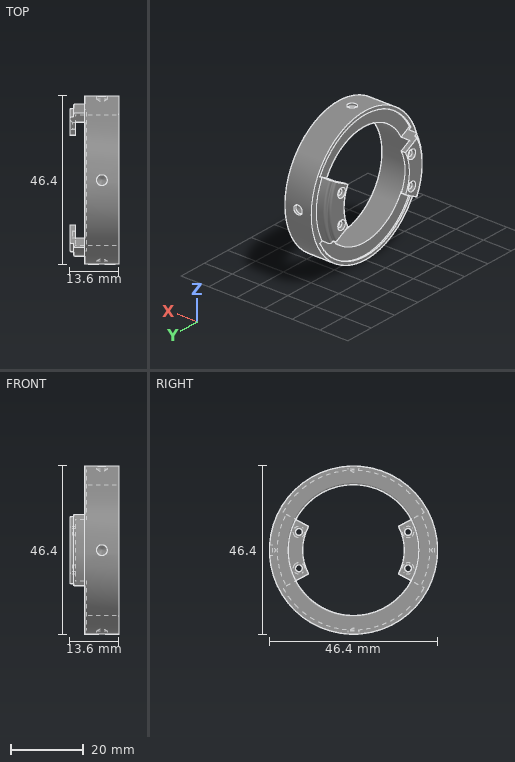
import cadquery as cq
import math

outer_radius = 23.2
bore_radius = 18.0
ring_width = 9.5
bore_fillet = 0.5

recess_radius = 22.05
recess_depth = 0.5

tab_half_angle = 28.0
tab_height = 4.1
tab_inner_radius = 13.95
tab_plate_thickness = 1.6
shoulder_radius = 21.0
shoulder_height = 3.0
rim_radius = 19.75
edge_fillet = 0.5
root_fillet = 0.25

screw_y = 15.05
screw_z = 5.0
screw_diameter = 1.8
countersink_diameter = 3.15
countersink_angle = 90.0

drill_radius = 1.5
drill_depth = 0.9
drill_point_angle = 118.0
drill_count = 4


def revolve_about_x(profile):
    """Revolve a closed profile of (x, radius) about the X axis."""
    return profile.close().revolve(360, (0, 0, 0), (1, 0, 0))


def tab_sectors(length, start_x):
    """Two wedges opening toward +Y and -Y, extruded along X from start_x."""
    reach = 2 * outer_radius
    half_width = reach * math.tan(math.radians(tab_half_angle))
    sectors = cq.Workplane("YZ", origin=(start_x, 0, 0))
    for side in (1, -1):
        sectors = sectors.polyline([
            (0, 0),
            (side * reach, -half_width),
            (side * reach, half_width),
        ]).close()
    return sectors.extrude(length)


def make_ring():
    ring = cq.Workplane("YZ").circle(outer_radius).circle(bore_radius).extrude(ring_width)
    bore_edge = cq.selectors.RadiusNthSelector(0)
    ring = ring.faces(">X").edges(bore_edge).fillet(bore_fillet)
    recess = cq.Workplane("YZ").circle(recess_radius).extrude(recess_depth)
    return ring.cut(recess.cut(tab_sectors(recess_depth, 0)))


def make_tabs():
    diagonal = math.sqrt(0.5)
    rim_center = (-tab_height + edge_fillet, rim_radius - edge_fillet)
    root_center = (-shoulder_height - root_fillet, rim_radius + root_fillet)
    shoulder_center = (-shoulder_height + edge_fillet, shoulder_radius - edge_fillet)
    profile = (
        cq.Workplane("XY")
        .moveTo(recess_depth, bore_radius)
        .lineTo(-tab_height + tab_plate_thickness, bore_radius)
        .lineTo(-tab_height + tab_plate_thickness, tab_inner_radius)
        .lineTo(-tab_height, tab_inner_radius)
        .lineTo(-tab_height, rim_center[1])
        .threePointArc(
            (rim_center[0] - edge_fillet * diagonal, rim_center[1] + edge_fillet * diagonal),
            (rim_center[0], rim_radius),
        )
        .lineTo(root_center[0], rim_radius)
        .threePointArc(
            (root_center[0] + root_fillet * diagonal, root_center[1] - root_fillet * diagonal),
            (-shoulder_height, root_center[1]),
        )
        .lineTo(-shoulder_height, shoulder_center[1])
        .threePointArc(
            (shoulder_center[0] - edge_fillet * diagonal, shoulder_center[1] + edge_fillet * diagonal),
            (shoulder_center[0], shoulder_radius),
        )
        .lineTo(recess_depth, shoulder_radius)
    )
    tabs = revolve_about_x(profile).intersect(tab_sectors(tab_height + recess_depth, -tab_height))
    return tabs.cut(make_screw_holes())


def make_screw_holes():
    """Countersunk cutters running through the tab plates."""
    hole_radius = screw_diameter / 2
    sink_radius = countersink_diameter / 2
    sink_depth = (sink_radius - hole_radius) / math.tan(math.radians(countersink_angle / 2))
    cutter = revolve_about_x(
        cq.Workplane("XY")
        .moveTo(-tab_height, 0)
        .lineTo(-tab_height, sink_radius)
        .lineTo(-tab_height + sink_depth, hole_radius)
        .lineTo(-tab_height + tab_plate_thickness, hole_radius)
        .lineTo(-tab_height + tab_plate_thickness, 0)
    )
    holes = cq.Workplane("XY")
    for y in (screw_y, -screw_y):
        for z in (screw_z, -screw_z):
            holes = holes.add(cutter.translate((0, y, z)))
    return holes.combine()


def drill_radial_holes(body):
    """Blind holes with conical bottoms, halfway across the ring width."""
    floor = outer_radius - drill_depth
    tip = floor - drill_radius / math.tan(math.radians(drill_point_angle / 2))
    drill = (
        cq.Workplane("XZ")
        .moveTo(0, tip)
        .lineTo(drill_radius, floor)
        .lineTo(drill_radius, outer_radius)
        .lineTo(0, outer_radius)
        .close()
        .revolve(360, (0, 0, 0), (0, 1, 0))
        .translate((ring_width / 2, 0, 0))
    )
    for index in range(drill_count):
        body = body.cut(drill.rotate((0, 0, 0), (1, 0, 0), index * 360 / drill_count))
    return body


result = drill_radial_holes(make_ring().union(make_tabs()))